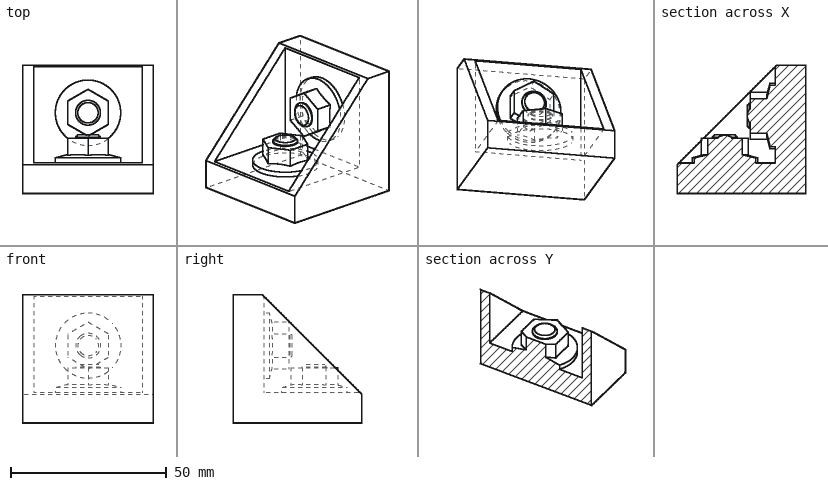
import cadquery as cq
import math

width = 42.0
depth = 41.3
height = 41.3
end_face = 9.32

cheek = 3.53
plate = 9.85
pocket_width = width - 2 * cheek

flange_diameter = 21.0
flange_rim = 1.65
flange_slope = 15.0
hex_flats = 13.0
nut_height = 8.0
stud_diameter = 8.0
stud_height = 9.0
stud_chamfer = 0.7
base_nut_y = 26.0
wall_nut_z = 25.0


def make_bracket():
    """Triangular corner bracket with a pocket between its cheeks."""
    body = (
        cq.Workplane("YZ")
        .polyline([(0, 0), (depth, 0), (depth, end_face), (end_face, height), (0, height)])
        .close()
        .extrude(width / 2, both=True)
    )
    pocket = cq.Workplane("XY").box(
        pocket_width, depth, height, centered=(True, False, False)
    ).translate((0, plate, plate))
    return body.cut(pocket)


def make_fastener():
    """Flange nut on a chamfered stud, standing on Z = 0 with hexagon corners on the Y axis."""
    flange_radius = flange_diameter / 2
    cone_top_radius = stud_diameter / 2
    cone_height = (flange_radius - cone_top_radius) * math.tan(math.radians(flange_slope))
    flange = (
        cq.Workplane("XZ")
        .moveTo(0, 0)
        .lineTo(flange_radius, 0)
        .lineTo(flange_radius, flange_rim)
        .lineTo(cone_top_radius, flange_rim + cone_height)
        .lineTo(0, flange_rim + cone_height)
        .close()
        .revolve(360, (0, 0), (0, 1))
    )
    hexagon = (
        cq.Workplane("XY")
        .polygon(6, hex_flats, circumscribed=True)
        .extrude(nut_height)
    )
    stud = (
        cq.Workplane("XY")
        .circle(stud_diameter / 2)
        .extrude(stud_height)
        .faces(">Z")
        .chamfer(stud_chamfer)
    )
    return flange.union(hexagon).union(stud)


fastener = make_fastener()
base_fastener = fastener.translate((0, base_nut_y, plate))
wall_fastener = fastener.rotate((0, 0, 0), (1, 0, 0), -90).translate((0, plate, wall_nut_z))

result = make_bracket().union(base_fastener).union(wall_fastener)